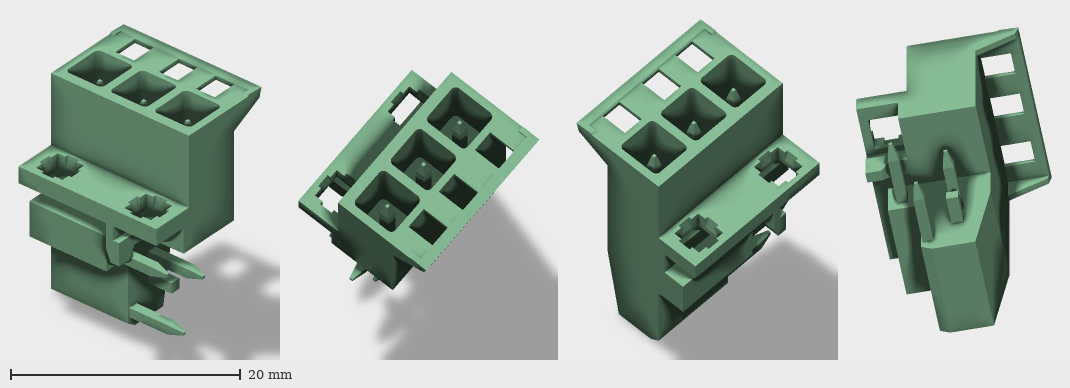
import cadquery as cq

WIDTH = 15.6
TOTAL_DEPTH = 14.37
TOTAL_HEIGHT = 23.25
MID_X = WIDTH / 2

FRONT_Y = 4.45
BACK_Y = 10.6
TOP_Z = 23.09
UNDERSIDE_Z = 11.15

FOOT_WIDTH = 8.72
FOOT_TAPER_Z = 7.93
FOOT_BACK_Y = 9.25
FOOT_CHAMFER_DEPTH = 0.93
FOOT_CHAMFER_HEIGHT = 0.6

SHOULDER_Y = 1.49
SHOULDER_BOTTOM_Z = 7.55
SHOULDER_TOP_Z = 11.23

LEDGE_TOP_Z = 15.6
LEDGE_BOTTOM_Z = 13.85
WALL_Y = 3.72

FLANGE_ROOT_Z = 20.44
FLANGE_TIP_Y = 14.1
FLANGE_TIP_Z = 22.2
LIP_EDGE_Z = 23.15
LIP_FRONT_Y = 12.4
LIP_INNER_Y = 13.3
LIP_INNER_RUN = 0.19
LIP_ARM_RUN = 0.25
LIP_ARM_WIDTH = 0.53
FLANGE_THICKNESS = 0.45
FLANGE_BOTTOM_Z = TOP_Z - FLANGE_THICKNESS
WINDOW_WIDTH = 2.12
WINDOW_CENTERS_X = [3.23, 8.18, 12.37]

CAVITY_PITCH = 4.98
CAVITY_COUNT = 3
CAVITY_CENTERS_X = [MID_X + CAVITY_PITCH * (i - (CAVITY_COUNT - 1) / 2) for i in range(CAVITY_COUNT)]
CAVITY_WIDTH = 4.15
CAVITY_LENGTH = 4.46
CAVITY_RADIUS = 0.49
CAVITY_Y = 7.7
CAVITY_FLOOR_Z = LEDGE_TOP_Z
CONTACT_TIP_Z = 21.85

SOCKET_SIZE = 3.0
SOCKET_PITCH = 10.0
FIRST_SOCKET_X = 2.81
SOCKET_CENTERS_X = [FIRST_SOCKET_X, FIRST_SOCKET_X + SOCKET_PITCH]
SOCKET_Y = 2.3
GROOVE_WIDTH = 1.3
GROOVE_DEPTH = 0.33
GROOVE_HEIGHT = 1.2
RECESS_WIDTH = 3.42
RECESS_DEPTH = 0.58
RECESS_FLOOR_Z = 13.07

HOOK_LEFT_X = 9.93
HOOK_NECK_X = 10.72
HOOK_NOSE_X = 11.4
HOOK_TOE_X = 10.42
HOOK_NOSE_Z = 12.37
HOOK_BOTTOM_Z = 9.95
HOOK_BACK_TOP_Y = 2.1
HOOK_BACK_BOTTOM_Y = 1.4

PEG_END_X = HOOK_NOSE_X
PEG_SIZE = 1.07
PEG_Y = CAVITY_Y
PEG_Z = 4.02

PIN_SIZE = 0.98
PIN_TIP_SIZE = 0.3
PIN_TAPER = 1.5
PIN_SEAT = 2.0
SOLDER_PIN_END_X = 14.58
SOLDER_PINS_YZ = [(2.81, 8.93), (CAVITY_Y, 6.25), (5.07, 1.72)]


def box(x_range, y_range, z_range):
    """Block between two values along each axis."""
    lows, highs = zip(x_range, y_range, z_range)
    sizes = [high - low for low, high in zip(lows, highs)]
    return cq.Workplane("XY").box(*sizes, centered=False).translate(lows)


def side_profile(points, x_start, x_end):
    """Extrude an outline of (Y, Z) points from x_start to x_end."""
    return cq.Workplane("YZ", origin=(x_start, 0, 0)).polyline(points).close().extrude(x_end - x_start)


def make_upper_body():
    outline = [
        (0, LEDGE_TOP_Z),
        (FRONT_Y, LEDGE_TOP_Z),
        (FRONT_Y, TOP_Z),
        (LIP_FRONT_Y, TOP_Z),
        (LIP_FRONT_Y + LIP_ARM_RUN, TOTAL_HEIGHT),
        (TOTAL_DEPTH, LIP_EDGE_Z),
        (FLANGE_TIP_Y, FLANGE_TIP_Z),
        (BACK_Y, FLANGE_ROOT_Z),
        (BACK_Y, UNDERSIDE_Z),
        (WALL_Y, UNDERSIDE_Z),
        (WALL_Y, LEDGE_BOTTOM_Z),
        (0, LEDGE_BOTTOM_Z),
    ]
    return side_profile(outline, 0, WIDTH)


def make_foot():
    outline = [
        (BACK_Y, SHOULDER_TOP_Z),
        (BACK_Y, FOOT_TAPER_Z),
        (FOOT_BACK_Y, 0),
        (FRONT_Y + FOOT_CHAMFER_DEPTH, 0),
        (FRONT_Y, FOOT_CHAMFER_HEIGHT),
        (FRONT_Y, SHOULDER_BOTTOM_Z),
        (SHOULDER_Y, SHOULDER_BOTTOM_Z),
        (SHOULDER_Y, SHOULDER_TOP_Z),
    ]
    return side_profile(outline, 0, FOOT_WIDTH)


def make_lip_clearance():
    """Space between the lip arms, level with the top face of the body."""
    outline = [
        (FRONT_Y, TOP_Z),
        (LIP_INNER_Y, TOP_Z),
        (LIP_INNER_Y + LIP_INNER_RUN, TOTAL_HEIGHT),
        (FRONT_Y, TOTAL_HEIGHT),
    ]
    return side_profile(outline, LIP_ARM_WIDTH, WIDTH - LIP_ARM_WIDTH)


def make_flange_hollow():
    """Open space under the flange plate, leaving a gusset at each side."""
    x_range = (LIP_ARM_WIDTH, WIDTH - LIP_ARM_WIDTH)
    return box(x_range, (BACK_Y, TOTAL_DEPTH), (FLANGE_ROOT_Z, FLANGE_BOTTOM_Z))


def make_window(center_x):
    x_range = (center_x - WINDOW_WIDTH / 2, center_x + WINDOW_WIDTH / 2)
    return box(x_range, (BACK_Y, LIP_INNER_Y), (FLANGE_BOTTOM_Z, TOP_Z))


def make_cavity(center_x):
    return (
        cq.Workplane("XY", origin=(center_x, CAVITY_Y, CAVITY_FLOOR_Z))
        .rect(CAVITY_WIDTH, CAVITY_LENGTH)
        .extrude(TOP_Z - CAVITY_FLOOR_Z)
        .edges("|Z")
        .fillet(CAVITY_RADIUS)
    )


def make_groove():
    """Wedge along the +Y side of a socket centred on the origin, mouth at Z = 0."""
    wall = SOCKET_SIZE / 2
    outline = [(0, 0), (wall + GROOVE_DEPTH, 0), (wall, -GROOVE_HEIGHT), (0, -GROOVE_HEIGHT)]
    return side_profile(outline, -GROOVE_WIDTH / 2, GROOVE_WIDTH / 2)


def make_socket(center_x):
    """Square hole through the ledge with one tapered groove in each side."""
    ledge_thickness = LEDGE_TOP_Z - LEDGE_BOTTOM_Z
    socket = cq.Workplane("XY").rect(SOCKET_SIZE, SOCKET_SIZE).extrude(-ledge_thickness)
    for angle in (0, 90, 180, 270):
        socket = socket.union(make_groove().rotate((0, 0, 0), (0, 0, 1), angle))
    return socket.translate((center_x, SOCKET_Y, LEDGE_TOP_Z))


def make_socket_recess(center_x):
    """Recess with 45 degree sides in the wall behind a socket, just below the ledge."""
    half_mouth = RECESS_WIDTH / 2
    half_back = half_mouth - RECESS_DEPTH
    back_y = WALL_Y + RECESS_DEPTH
    outline = [
        (center_x - half_mouth, WALL_Y),
        (center_x + half_mouth, WALL_Y),
        (center_x + half_back, back_y),
        (center_x - half_back, back_y),
    ]
    height = LEDGE_BOTTOM_Z - RECESS_FLOOR_Z
    return cq.Workplane("XY", origin=(0, 0, RECESS_FLOOR_Z)).polyline(outline).close().extrude(height)


def make_hook():
    outline = [
        (HOOK_LEFT_X, LEDGE_BOTTOM_Z),
        (HOOK_NECK_X, LEDGE_BOTTOM_Z),
        (HOOK_NECK_X, HOOK_NOSE_Z),
        (HOOK_NOSE_X, HOOK_NOSE_Z),
        (HOOK_NOSE_X, HOOK_BOTTOM_Z),
        (HOOK_TOE_X, HOOK_BOTTOM_Z),
        (HOOK_LEFT_X, UNDERSIDE_Z),
    ]
    hook = cq.Workplane("XZ").polyline(outline).close().extrude(-WALL_Y)
    relief_outline = [
        (HOOK_BACK_TOP_Y, UNDERSIDE_Z),
        (HOOK_BACK_BOTTOM_Y, HOOK_BOTTOM_Z),
        (WALL_Y, HOOK_BOTTOM_Z),
        (WALL_Y, UNDERSIDE_Z),
    ]
    return hook.cut(side_profile(relief_outline, HOOK_LEFT_X, HOOK_NOSE_X))


def make_peg():
    half = PEG_SIZE / 2
    return box((FOOT_WIDTH, PEG_END_X), (PEG_Y - half, PEG_Y + half), (PEG_Z - half, PEG_Z + half))


def make_housing(pins):
    housing = make_upper_body().union(make_foot()).union(make_hook()).union(make_peg())
    housing = housing.cut(make_lip_clearance()).cut(make_flange_hollow())
    for x in WINDOW_CENTERS_X:
        housing = housing.cut(make_window(x))
    for x in CAVITY_CENTERS_X:
        housing = housing.cut(make_cavity(x))
    for x in SOCKET_CENTERS_X:
        housing = housing.cut(make_socket(x)).cut(make_socket_recess(x))
    for pin in pins:
        housing = housing.cut(pin)
    return housing


def make_pin(length):
    """Square pin rising from the origin along +Z, with a tapered tip at its upper end."""
    shaft_length = length - PIN_TAPER
    shaft = cq.Workplane("XY").rect(PIN_SIZE, PIN_SIZE).extrude(shaft_length)
    return (
        shaft.faces(">Z")
        .workplane()
        .rect(PIN_SIZE, PIN_SIZE)
        .workplane(offset=PIN_TAPER)
        .rect(PIN_TIP_SIZE, PIN_TIP_SIZE)
        .loft(combine=True)
    )


def make_contact(center_x):
    """Upright contact in the middle of a cavity."""
    base_z = CAVITY_FLOOR_Z - PIN_SEAT
    return make_pin(CONTACT_TIP_Z - base_z).translate((center_x, CAVITY_Y, base_z))


def make_solder_pin(y, z):
    """Pin standing out of the right side of the foot along +X."""
    base_x = FOOT_WIDTH - PIN_SEAT
    pin = make_pin(SOLDER_PIN_END_X - base_x).rotate((0, 0, 0), (0, 1, 0), 90)
    return pin.translate((base_x, y, z))


contacts = [make_contact(x) for x in CAVITY_CENTERS_X]
solder_pins = [make_solder_pin(y, z) for y, z in SOLDER_PINS_YZ]
housing = make_housing(contacts + solder_pins)

result = cq.Compound.makeCompound([housing.val(), *[pin.val() for pin in contacts + solder_pins]])